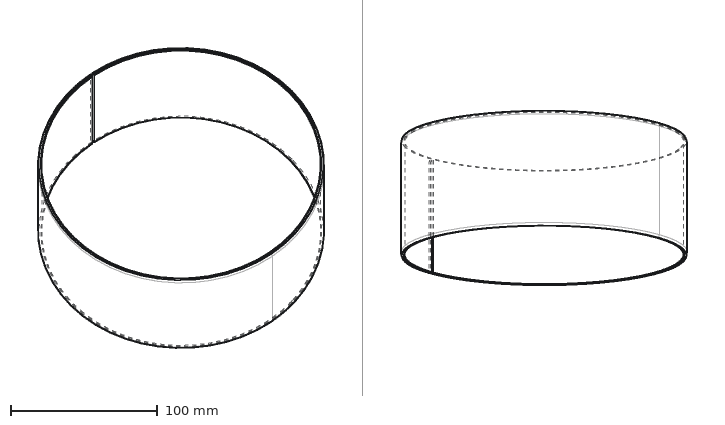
import cadquery as cq

outer_diameter = 195.0
height = 80.0
wall = 2.5
outer_chamfer_height = 2.1
outer_chamfer_width = 0.5
inner_chamfer = 0.5
slit_width = 1.5

outer_radius = outer_diameter / 2
inner_radius = outer_radius - wall
outer_rim_radius = outer_radius - outer_chamfer_width
inner_rim_radius = inner_radius + inner_chamfer


def make_ring():
    """Thin ring with steep outer and small 45 degree inner chamfers on both rims, standing on Z = 0."""
    return (
        cq.Workplane("XZ")
        .moveTo(inner_rim_radius, 0)
        .lineTo(outer_rim_radius, 0)
        .lineTo(outer_radius, outer_chamfer_height)
        .lineTo(outer_radius, height - outer_chamfer_height)
        .lineTo(outer_rim_radius, height)
        .lineTo(inner_rim_radius, height)
        .lineTo(inner_radius, height - inner_chamfer)
        .lineTo(inner_radius, inner_chamfer)
        .close()
        .revolve(360, (0, 0, 0), (0, 1, 0))
    )


def make_slit():
    """Full-height cut through the -X wall, with one side on the XZ plane."""
    return cq.Workplane("XY").box(
        outer_radius, slit_width, height, centered=False
    ).translate((-outer_radius, 0, 0))


result = make_ring().cut(make_slit())